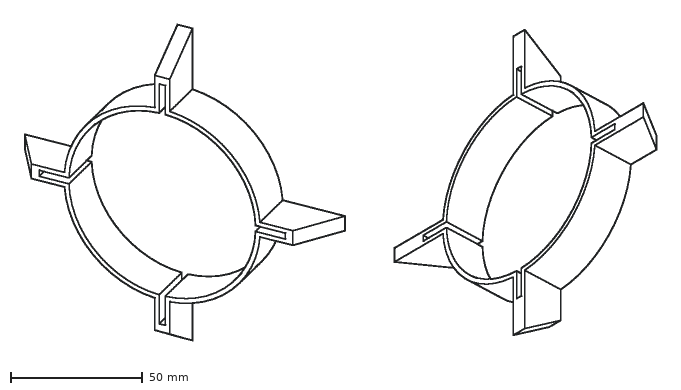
import cadquery as cq

depth = 19.1
tip_reach = 68.6
front_reach = 56.0
outer_radius = 42.0
wall = 2.0
fin_width = 6.5
slot_width = 2.6
slot_end = 52.7
fin_count = 4

inner_radius = outer_radius - wall
fin_root = inner_radius - wall
front_y = -depth / 2
back_y = depth / 2


def cylinder(radius):
    """Full-depth cylinder around the Y axis."""
    return cq.Workplane("XZ", origin=(0, back_y, 0)).circle(radius).extrude(depth)


def around_axis(body, index):
    """Turn a body to one of the equally spaced fin positions."""
    return body.rotate((0, 0, 0), (0, 1, 0), index * 360 / fin_count)


fin = (
    cq.Workplane("XY")
    .polyline([
        (fin_root, front_y),
        (front_reach, front_y),
        (tip_reach, back_y),
        (fin_root, back_y),
    ])
    .close()
    .extrude(fin_width / 2, both=True)
)

slot_start = fin_root
slot = cq.Workplane("XY").box(slot_end - slot_start, depth, slot_width)
slot = slot.translate(((slot_start + slot_end) / 2, 0, 0))

body = cylinder(outer_radius)
for i in range(fin_count):
    body = body.union(around_axis(fin, i))
body = body.cut(cylinder(inner_radius))
for i in range(fin_count):
    body = body.cut(around_axis(slot, i))

result = body